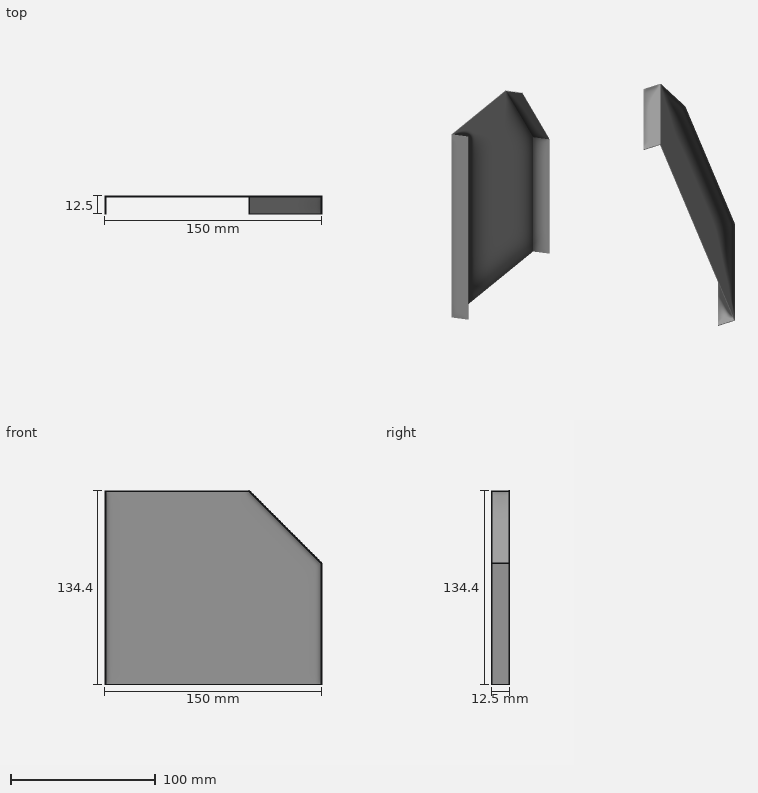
import cadquery as cq
import math

overall_width = 150.0
panel_height = 134.0
overall_depth = 12.5
sheet_thickness = 0.55
outer_corner_cut = 50.0
slope_end_setback = 0.4

corner_cut = outer_corner_cut + sheet_thickness * math.tan(math.radians(45 / 2))

panel_left = sheet_thickness
panel_right = overall_width - sheet_thickness
bottom_left = (panel_left, 0)
bottom_right = (panel_right, 0)
corner_side = (panel_right, panel_height - corner_cut)
corner_top = (panel_right - corner_cut, panel_height)
top_left = (panel_left, panel_height)


def make_panel():
    """Flat panel with its upper right corner cut off."""
    outline = [bottom_left, bottom_right, corner_side, corner_top, top_left]
    return cq.Workplane("XZ").polyline(outline).close().extrude(sheet_thickness)


def make_flange(start, end, end_setback):
    """Fold and flange against the panel edge from start to end, given as (x, z).

    The panel lies to the left of the direction of travel. The fold runs the
    whole edge and is square at both ends; the flange that stands on it stops
    end_setback before the end.
    """
    along_x = end[0] - start[0]
    along_z = end[1] - start[1]
    length = math.hypot(along_x, along_z)

    section_plane = cq.Plane(
        origin=(start[0], 0, start[1]),
        xDir=(along_z, 0, -along_x),
        normal=(along_x, 0, along_z),
    )

    def strip(depth, strip_length):
        section = cq.Workplane(section_plane).rect(sheet_thickness, -depth, centered=False)
        return section.extrude(strip_length)

    fold = strip(sheet_thickness, length)
    return fold.union(strip(overall_depth, length - end_setback))


flanged_edges = [
    (bottom_right, corner_side, 0),
    (corner_side, corner_top, slope_end_setback),
    (top_left, bottom_left, 0),
]

result = make_panel()
for edge_start, edge_end, setback in flanged_edges:
    result = result.union(make_flange(edge_start, edge_end, setback))